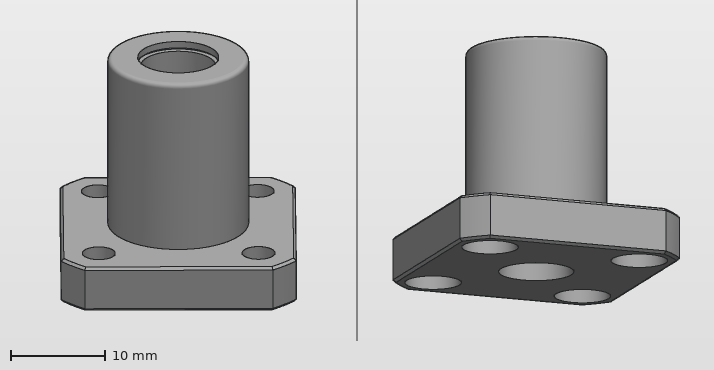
import cadquery as cq

flange_diameter = 31.98
flange_square = 24.98
flange_thickness = 5.0
flange_chamfer = 0.3

total_height = 24.0
sleeve_diameter = 15.0
sleeve_fillet = 0.5
bore_diameter = 8.0
recess_diameter = 8.6
recess_depth = 1.0
lip_height = 0.75
undercut_diameter = 9.2

hole_diameter = 3.5
hole_circle_diameter = 24.0
hole_count = 4
counterbore_diameter = 6.0
counterbore_depth = 3.1


def cylinder(diameter, bottom, height):
    """Upright cylinder on the Z axis, starting at the given level."""
    return cq.Workplane("XY").workplane(offset=bottom).circle(diameter / 2).extrude(height)


def make_flange():
    square = (
        cq.Workplane("XY")
        .rect(flange_square, flange_square)
        .extrude(flange_thickness)
        .rotate((0, 0, 0), (0, 0, 1), 45)
    )
    flange = square.intersect(cylinder(flange_diameter, 0, flange_thickness))
    return flange.faces("<Z or >Z").edges().chamfer(flange_chamfer)


def make_sleeve():
    sleeve = cylinder(sleeve_diameter, 0, total_height)
    return sleeve.faces(">Z").edges().fillet(sleeve_fillet)


def make_mounting_hole():
    hole = cylinder(hole_diameter, 0, flange_thickness)
    return hole.union(cylinder(counterbore_diameter, 0, counterbore_depth))


body = make_flange().union(make_sleeve())

body = body.cut(cylinder(bore_diameter, 0, total_height))
recess_floor = total_height - recess_depth
body = body.cut(cylinder(recess_diameter, recess_floor, recess_depth))
body = body.cut(cylinder(undercut_diameter, recess_floor, recess_depth - lip_height))

for index in range(hole_count):
    angle = index * 360 / hole_count
    hole = make_mounting_hole().translate((hole_circle_diameter / 2, 0, 0))
    body = body.cut(hole.rotate((0, 0, 0), (0, 0, 1), angle))

result = body